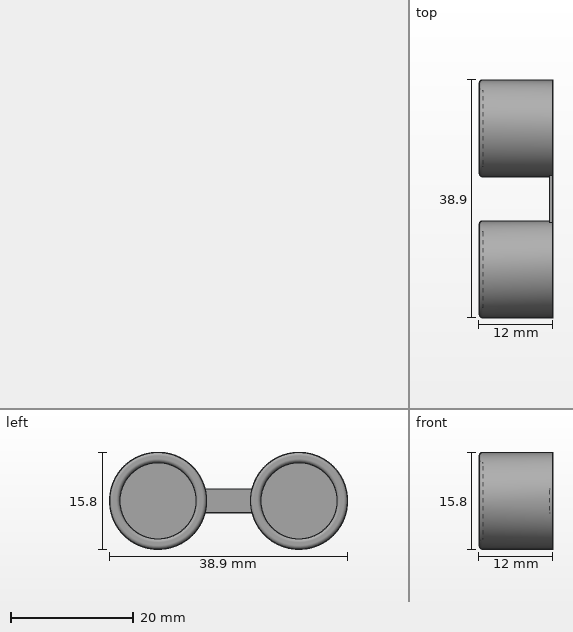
import cadquery as cq

total_span = 38.88
cup_diameter = 15.85
cup_length = 12.0
edge_radius = 0.6
recess_radius = 6.22
recess_depth = 0.6
strap_height = 3.9
strap_thickness = 0.6

cup_radius = cup_diameter / 2
cup_spacing = total_span - cup_diameter
front_x = -cup_length


def cup(center_y):
    """Cylinder along X with a rounded front rim around a shallow recess."""
    body = (
        cq.Workplane("YZ", origin=(0, center_y, 0))
        .circle(cup_radius)
        .extrude(-cup_length)
        .faces("<X")
        .edges()
        .fillet(edge_radius)
    )
    return body.cut(recess(center_y))


def recess(center_y):
    """Shallow round pocket whose wall flares outward in a convex quarter round."""
    mouth_radius = recess_radius + recess_depth
    floor_x = front_x + recess_depth
    offset = recess_depth / 2**0.5
    profile = (
        cq.Workplane("XY", origin=(0, center_y, 0))
        .moveTo(front_x, 0)
        .lineTo(front_x, mouth_radius)
        .threePointArc((floor_x - offset, mouth_radius - offset), (floor_x, recess_radius))
        .lineTo(floor_x, 0)
        .close()
    )
    return profile.revolve(360, (0, 0, 0), (1, 0, 0))


strap = cq.Workplane("XY").box(
    strap_thickness, cup_spacing, strap_height
).translate((-strap_thickness / 2, 0, 0))

result = strap
for side in (-1, 1):
    result = result.union(cup(side * cup_spacing / 2))